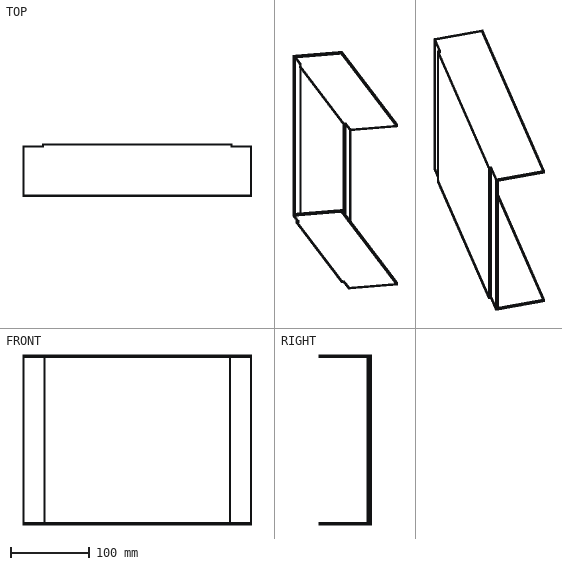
import cadquery as cq

width = 291.0
depth = 65.8
height = 216.0

sheet = 2.0
panel_offset = 2.5
rear_panel_width = 241.0
front_recess_width = rear_panel_width - 2 * sheet
rim_depth = depth - panel_offset


def block(size_x, y_start, y_end, size_z):
    """Box centred on X and Z, spanning y_start to y_end."""
    return (
        cq.Workplane("XY")
        .box(size_x, y_end - y_start, size_z)
        .translate((0, (y_start + y_end) / 2, 0))
    )


envelope = block(width, 0, rim_depth, height)
envelope = envelope.union(block(rear_panel_width, 0, depth, height))

inner_height = height - 2 * sheet
hollow = block(width, 0, rim_depth - sheet, inner_height)

recess = block(front_recess_width, 0, depth - sheet, inner_height)

result = envelope.cut(hollow).cut(recess)